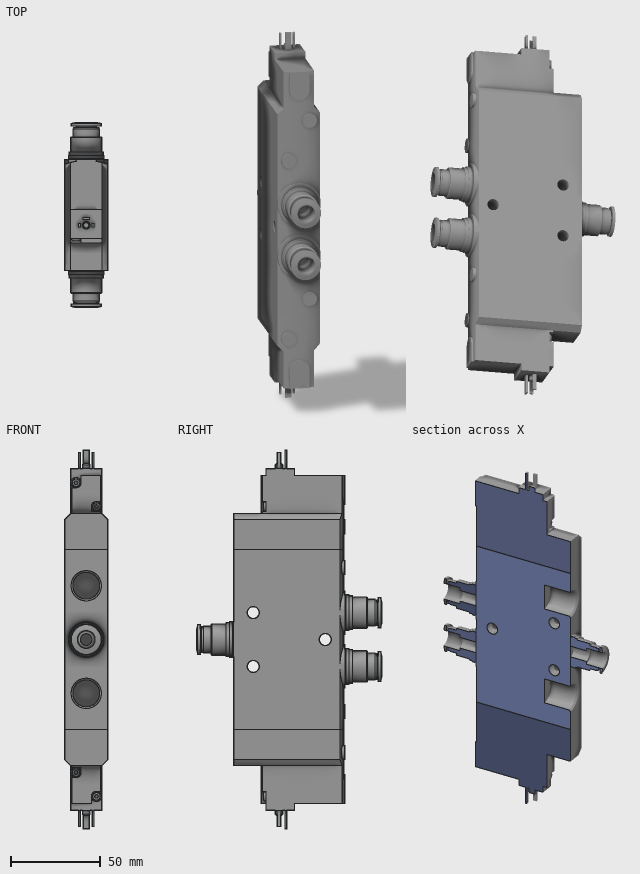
import cadquery as cq

BODY_WIDTH = 24.0
SEAT_SPAN = 61.8
FRONT_Y = -SEAT_SPAN / 2
CROWN_Y = 30.4
CROWN_EDGE_Y = 28.3
BODY_HALF_LENGTH = 50.0
PORT_PITCH = 30.0
PORT_DIAMETER = 15.0
PORT_MOUTH_DIAMETER = 16.9
PORT_DEPTH = 16.9
MOUNT_HOLE_DIAMETER = 6.5
MOUNT_HOLE_Y = 20.0

SEAT_Y = SEAT_SPAN / 2
SEAT_DIAMETER = 24.3
BOSS_DIAMETER = 8.0
BOSS_OFFSET_X = 6.0
BODY_BOSS_Z = 40.0
CAP_BOSS_Z = 62.9
BOSS_TOP_Y = 31.0
BOSS_ROOT_DEPTH = 2.1
BOSS_ROOT_Y = CROWN_EDGE_Y - BOSS_ROOT_DEPTH

CAP_END_Z = 70.3
CAP_CHAMFER = 3.4

COIL_WIDTH = BODY_WIDTH - 2 * CAP_CHAMFER
COIL_TOP_Z = 91.4
COIL_FRONT_Y = -13.0
CONNECTOR_TOP_Z = 95.2
CONNECTOR_BACK_Y = 3.0
PLATE_FRONT_Y = -15.6
PLATE_CHAMFER = 0.6
PAD_WIDTH = 11.4
PAD_ROUND_CENTER_Z = 80.8

SCREW_X = 5.7
OUTER_SCREW_Z = 87.4
INNER_SCREW_Z = 74.0
SCREW_DIAMETER = 5.7
SCREW_TOP_DIAMETER = 4.2
SCREW_HOLE_DIAMETER = 2.0
SCREW_HEIGHT = 1.3

GROUND_PIN_TOP_Z = 105.5
GROUND_PIN_WIDTH = 3.5
GROUND_PIN_Y = -2.0
PIN_THICKNESS = 1.0
SIDE_PIN_TOP_Z = 104.2
SIDE_PIN_WIDTH = 2.1
SIDE_PIN_X = 3.8
CONNECTOR_AXIS_Y = -5.7
STUB_DIAMETER = 4.2
STUB_TOP_Z = 98.0
STUB_CHAMFER = 0.6

FITTING_LENGTH = 20.7
FITTING_PITCH = PORT_PITCH / 2
FOOT_DIAMETER = 19.5
FOOT_HEIGHT = 0.6
SEAL_DIAMETER = 20.0
SEAL_END = 2.3
COLLAR_DIAMETER = 19.0
COLLAR_END = 4.2
BARREL_DIAMETER = 17.5
BARREL_END = 12.2
SHOULDER_DIAMETER = 16.7
NECK_DIAMETER = 15.0
NECK_START = 12.7
NECK_END = 16.9
COLLET_DIAMETER = 14.3
COLLET_END = 18.0
RELEASE_RING_DIAMETER = 16.9
RELEASE_RING_START = 18.5
RELEASE_RING_END = 20.0
TIP_DIAMETER = 11.4
TUBE_BORE_DIAMETER = 10.0
TUBE_BORE_DEPTH = 10.5
FLOW_BORE_DIAMETER = 6.5


def box(x_min, x_max, y_min, y_max, z_min, z_max):
    """Box between two corners."""
    size = (x_max - x_min, y_max - y_min, z_max - z_min)
    return cq.Workplane().box(*size, centered=False).translate((x_min, y_min, z_min))


def cylinder_y(diameter, x, z, y_start, y_end):
    """Cylinder along Y from y_start to y_end, which is the larger."""
    disc = cq.Workplane("XZ", origin=(x, y_start, z)).circle(diameter / 2)
    return disc.extrude(y_start - y_end)


def crowned_bar(z_min, z_max):
    """Bar of the valve's cross-section, with the arched +Y face."""
    half = BODY_WIDTH / 2
    outline = (
        cq.Workplane("XY", origin=(0, 0, z_min))
        .moveTo(-half, FRONT_Y)
        .lineTo(half, FRONT_Y)
        .lineTo(half, CROWN_EDGE_Y)
        .threePointArc((0, CROWN_Y), (-half, CROWN_EDGE_Y))
        .close()
    )
    return outline.extrude(z_max - z_min)


def port(z):
    """Plain port with a chamfered mouth in the -Y face, as a cutting tool."""
    lead_in = (PORT_MOUTH_DIAMETER - PORT_DIAMETER) / 2
    return (
        cq.Workplane("XZ", origin=(0, FRONT_Y, z))
        .circle(PORT_MOUTH_DIAMETER / 2)
        .workplane(offset=-lead_in)
        .circle(PORT_DIAMETER / 2)
        .loft()
        .union(cylinder_y(PORT_DIAMETER, 0, z, FRONT_Y, FRONT_Y + PORT_DEPTH))
    )


def make_valve_body():
    body = crowned_bar(-BODY_HALF_LENGTH, BODY_HALF_LENGTH)
    half = BODY_WIDTH / 2
    for z in (-FITTING_PITCH, FITTING_PITCH):
        seat = cylinder_y(SEAT_DIAMETER, 0, z, BOSS_ROOT_Y, SEAT_Y)
        trim = box(-half, half, BOSS_ROOT_Y, SEAT_Y, -BODY_HALF_LENGTH, BODY_HALF_LENGTH)
        body = body.union(seat.intersect(trim))
    for side in (-1, 1):
        boss_z = side * BODY_BOSS_Z
        body = body.union(
            cylinder_y(BOSS_DIAMETER, side * BOSS_OFFSET_X, boss_z, BOSS_ROOT_Y, BOSS_TOP_Y)
        )
    for z in (-PORT_PITCH, PORT_PITCH):
        body = body.cut(port(z))
    hole_places = [
        (MOUNT_HOLE_Y, 0),
        (-MOUNT_HOLE_Y, FITTING_PITCH),
        (-MOUNT_HOLE_Y, -FITTING_PITCH),
    ]
    holes = (
        cq.Workplane("YZ", origin=(-BODY_WIDTH / 2, 0, 0))
        .pushPoints(hole_places)
        .circle(MOUNT_HOLE_DIAMETER / 2)
        .extrude(BODY_WIDTH)
    )
    return body.cut(holes)


def make_cap():
    """End cap with chamfered long edges at its outer end."""
    half = BODY_WIDTH / 2
    side_profile = (
        cq.Workplane("XZ", origin=(0, FRONT_Y, 0))
        .moveTo(-half, BODY_HALF_LENGTH)
        .lineTo(half, BODY_HALF_LENGTH)
        .lineTo(half, CAP_END_Z - CAP_CHAMFER)
        .lineTo(half - CAP_CHAMFER, CAP_END_Z)
        .lineTo(-half + CAP_CHAMFER, CAP_END_Z)
        .lineTo(-half, CAP_END_Z - CAP_CHAMFER)
        .close()
        .extrude(FRONT_Y - CROWN_Y)
    )
    boss = cylinder_y(BOSS_DIAMETER, -BOSS_OFFSET_X, CAP_BOSS_Z, BOSS_ROOT_Y, BOSS_TOP_Y)
    return crowned_bar(BODY_HALF_LENGTH, CAP_END_Z).intersect(side_profile).union(boss)


def screw_pocket(side, z):
    """Pocket in the front plate around a screw, open to the side of the solenoid.

    side is -1 for the -X screw, whose pocket also opens at the top of the plate,
    and 1 for the +X screw, whose pocket is squared off below.
    """
    radius = SCREW_DIAMETER / 2
    x = side * SCREW_X
    outer_x = side * COIL_WIDTH / 2
    inner_x = x - side * radius
    corner_z = COIL_TOP_Z if side < 0 else z - radius
    y_range = (PLATE_FRONT_Y, COIL_FRONT_Y)
    corner = box(*sorted((inner_x, outer_x)), *y_range, *sorted((z, corner_z)))
    opening = box(*sorted((x, outer_x)), *y_range, z - radius, z + radius)
    return cylinder_y(SCREW_DIAMETER, x, z, *y_range).union(corner).union(opening)


def screw_head(x, z):
    """Tapered screw head with a round recess."""
    head = (
        cq.Workplane("XZ", origin=(x, COIL_FRONT_Y, z))
        .circle(SCREW_DIAMETER / 2)
        .workplane(offset=SCREW_HEIGHT)
        .circle(SCREW_TOP_DIAMETER / 2)
        .loft()
    )
    recess = cylinder_y(SCREW_HOLE_DIAMETER, x, z, COIL_FRONT_Y - SCREW_HEIGHT, COIL_FRONT_Y)
    return head.cut(recess)


def make_solenoid():
    half = COIL_WIDTH / 2
    coil = crowned_bar(CAP_END_Z, COIL_TOP_Z).intersect(
        box(-half, half, COIL_FRONT_Y, CROWN_Y, CAP_END_Z, COIL_TOP_Z)
    )
    connector = box(-half, half, COIL_FRONT_Y, CONNECTOR_BACK_Y, COIL_TOP_Z, CONNECTOR_TOP_Z)
    plate = box(-half, half, PLATE_FRONT_Y, COIL_FRONT_Y, CAP_END_Z, COIL_TOP_Z)
    plate = plate.faces("<Y").edges("|Z").chamfer(PLATE_CHAMFER)
    screws = [(-1, OUTER_SCREW_Z), (1, INNER_SCREW_Z)]
    for side, z in screws:
        plate = plate.cut(screw_pocket(side, z))
    solenoid = coil.union(connector).union(plate)
    for side, z in screws:
        solenoid = solenoid.union(screw_head(side * SCREW_X, z))
    pad_half = PAD_WIDTH / 2
    pad = box(-pad_half, pad_half, BOSS_ROOT_Y, BOSS_TOP_Y, PAD_ROUND_CENTER_Z, COIL_TOP_Z)
    pad_end = cylinder_y(PAD_WIDTH, 0, PAD_ROUND_CENTER_Z, BOSS_ROOT_Y, BOSS_TOP_Y)
    return solenoid.union(pad).union(pad_end)


def pin(x, y, width_x, width_y, top_z):
    """Flat connector pin standing on the connector."""
    height = top_z - CONNECTOR_TOP_Z
    return cq.Workplane("XY", origin=(x, y, CONNECTOR_TOP_Z)).rect(width_x, width_y).extrude(height)


def make_end_unit():
    """End cap, solenoid and connector pins in one body, at the +Z end."""
    unit = make_cap().union(make_solenoid())
    unit = unit.union(pin(0, GROUND_PIN_Y, GROUND_PIN_WIDTH, PIN_THICKNESS, GROUND_PIN_TOP_Z))
    for x in (-SIDE_PIN_X, SIDE_PIN_X):
        unit = unit.union(pin(x, CONNECTOR_AXIS_Y, PIN_THICKNESS, SIDE_PIN_WIDTH, SIDE_PIN_TOP_Z))
    stub = (
        cq.Workplane("XY", origin=(0, CONNECTOR_AXIS_Y, CONNECTOR_TOP_Z))
        .circle(STUB_DIAMETER / 2)
        .extrude(STUB_TOP_Z - CONNECTOR_TOP_Z)
        .faces(">Z")
        .chamfer(STUB_CHAMFER)
    )
    return unit.union(stub)


def make_fitting(seat_y, z, outward):
    """Push-in fitting on a seat; outward is -1 or 1 along Y."""
    profile = [
        (FLOW_BORE_DIAMETER, 0),
        (FOOT_DIAMETER, 0),
        (FOOT_DIAMETER, FOOT_HEIGHT),
        (SEAL_DIAMETER, FOOT_HEIGHT),
        (SEAL_DIAMETER, SEAL_END),
        (COLLAR_DIAMETER, SEAL_END),
        (COLLAR_DIAMETER, COLLAR_END),
        (BARREL_DIAMETER, COLLAR_END),
        (BARREL_DIAMETER, BARREL_END),
        (SHOULDER_DIAMETER, NECK_START),
        (NECK_DIAMETER, NECK_START),
        (NECK_DIAMETER, NECK_END),
        (COLLET_DIAMETER, NECK_END),
        (COLLET_DIAMETER, COLLET_END),
        (TIP_DIAMETER, COLLET_END),
        (TIP_DIAMETER, RELEASE_RING_START),
        (RELEASE_RING_DIAMETER, RELEASE_RING_START),
        (RELEASE_RING_DIAMETER, RELEASE_RING_END),
        (TIP_DIAMETER, FITTING_LENGTH),
        (TUBE_BORE_DIAMETER, FITTING_LENGTH),
        (TUBE_BORE_DIAMETER, FITTING_LENGTH - TUBE_BORE_DEPTH),
        (FLOW_BORE_DIAMETER, FITTING_LENGTH - TUBE_BORE_DEPTH),
    ]
    half_section = [(diameter / 2, outward * distance) for diameter, distance in profile]
    fitting = cq.Workplane("XY").polyline(half_section).close().revolve(360, (0, 0), (0, 1))
    return fitting.translate((0, seat_y, z))


valve_body = make_valve_body()

end_units = [make_end_unit().rotate((0, 0, 0), (0, 1, 0), angle) for angle in (0, 180)]

fittings = [make_fitting(FRONT_Y, 0, -1)]
for fitting_z in (-FITTING_PITCH, FITTING_PITCH):
    fittings.append(make_fitting(SEAT_Y, fitting_z, 1))

bodies = [valve_body, *end_units, *fittings]
result = cq.Compound.makeCompound([body.solids().val() for body in bodies])